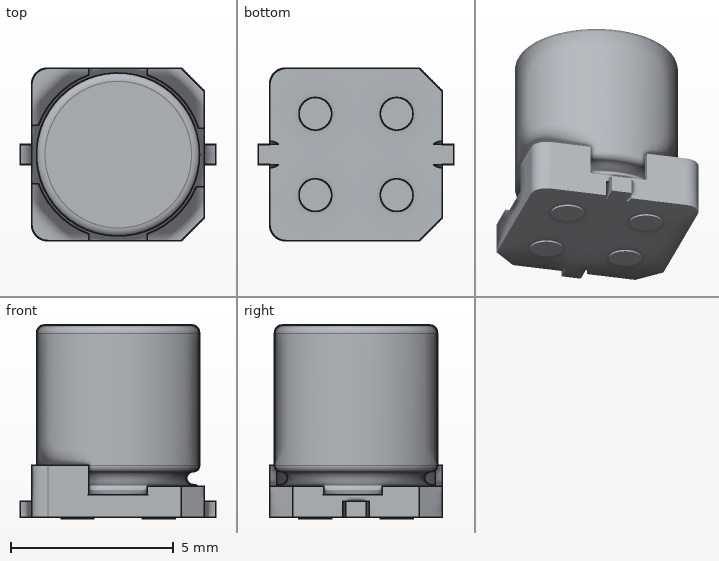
import cadquery as cq
import math

base_side = 5.3
base_height = 1.6
low_height = 0.96
corner_radius = 0.5
corner_chamfer = 0.71
well_radius = 2.6
well_floor = 0.7

gap_width = 1.8
right_gap_shift = -0.095

can_radius = 2.5
can_top = 5.905
top_fillet = 0.25
bead_radius = 0.2
body_bottom = base_height
groove_radius = can_radius - bead_radius
groove_top = body_bottom - bead_radius
groove_bottom = groove_top - 2 * bead_radius
bead_bottom = groove_bottom - bead_radius

lead_span = 6.0
lead_width = 0.62
lead_height = 0.5
recess_radius = 0.41
lead_length = (lead_span - base_side) / 2 + 2 * recess_radius

foot_diameter = 1.0
foot_height = 0.05
foot_offset = 1.25


def box_on_floor(length, width, height, x, y, z):
    """Box centred on (x, y) that rises from z."""
    return cq.Workplane("XY", origin=(x, y, z)).box(length, width, height, centered=(True, True, False))


def make_base():
    base = box_on_floor(base_side, base_side, base_height, 0, 0, 0)
    base = base.edges("|Z and <X").fillet(corner_radius)
    base = base.edges("|Z and >X").chamfer(corner_chamfer)

    well = cq.Workplane("XY", origin=(0, 0, well_floor)).circle(well_radius).extrude(base_height)
    base = base.cut(well)

    low_length = base_side
    low_x = gap_width / 2 + low_length / 2
    base = base.cut(box_on_floor(low_length, base_side, base_height, low_x, 0, low_height))

    half_side = base_side / 2
    base = base.cut(box_on_floor(gap_width, base_side, base_height, 0, 0, well_floor))
    for x, y in ((-half_side, 0), (half_side, right_gap_shift)):
        base = base.cut(box_on_floor(half_side, gap_width, base_height, x, y, well_floor))

    recesses = (
        cq.Workplane("XY")
        .pushPoints([(-half_side, 0), (half_side, 0)])
        .circle(recess_radius)
        .extrude(lead_height)
    )
    return base.cut(recesses)


def make_can():
    """Revolve the half profile of the can about Z."""
    diagonal = bead_radius * math.sqrt(0.5)
    top_fillet_diagonal = top_fillet * math.sqrt(0.5)
    top_flat = can_radius - top_fillet
    fillet_start = can_top - top_fillet
    return (
        cq.Workplane("XZ")
        .moveTo(0, well_floor)
        .lineTo(can_radius, well_floor)
        .lineTo(can_radius, bead_bottom)
        .threePointArc(
            (groove_radius + diagonal, bead_bottom + diagonal),
            (groove_radius, groove_bottom),
        )
        .threePointArc(
            (groove_radius - bead_radius, groove_bottom + bead_radius),
            (groove_radius, groove_top),
        )
        .threePointArc(
            (groove_radius + diagonal, body_bottom - diagonal),
            (can_radius, body_bottom),
        )
        .lineTo(can_radius, fillet_start)
        .threePointArc(
            (top_flat + top_fillet_diagonal, fillet_start + top_fillet_diagonal),
            (top_flat, can_top),
        )
        .lineTo(0, can_top)
        .close()
        .revolve(360, (0, 0, 0), (0, 1, 0))
    )


def make_leads():
    lead_x = (lead_span - lead_length) / 2
    left = box_on_floor(lead_length, lead_width, lead_height, -lead_x, 0, 0)
    right = box_on_floor(lead_length, lead_width, lead_height, lead_x, 0, 0)
    return left.union(right)


def make_feet():
    return (
        cq.Workplane("XY")
        .rect(2 * foot_offset, 2 * foot_offset, forConstruction=True)
        .vertices()
        .circle(foot_diameter / 2)
        .extrude(-foot_height)
    )


result = make_base().union(make_can()).union(make_leads()).union(make_feet())